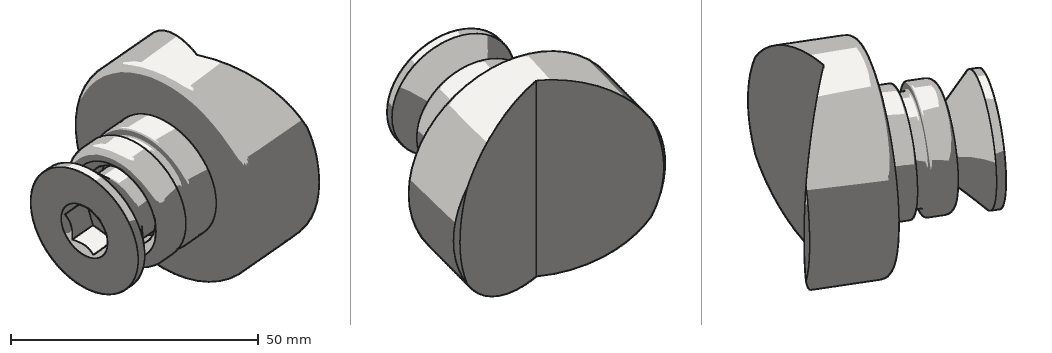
import cadquery as cq
import math


PAD_RADIUS = 25.0
PAD_CHAMFER = 2.0
PAD_CHAMFER_START = 19.0
PAD_FILLET = 2.0
VEE_BOTTOM = 10.0
VEE_ANGLE = 22.5

NECK_RADIUS = 14.0
NECK_LENGTH = 15.0
NECK_FILLET = 2.0
GROOVE_RADIUS = 12.0
GROOVE_START = 6.2
GROOVE_END = 8.95
GROOVE_FILLET = 0.5

SHANK_RADIUS = 8.0
HEAD_RADIUS = 14.5
HEAD_FACE = 24.4
HEAD_RIM = 2.0
UNDERHEAD_FILLET = 0.8
HEX_ACROSS_FLATS = 10.0
HEX_TURN = 10.0
HEX_DEPTH = 6.85
HEX_MOUTH_RADIUS = 6.25
MOUTH_SLOPE = 45.0

CLEARANCE_RADIUS = 9.0
CLEARANCE_DEPTH = 6.0
COUNTERSINK_RADIUS = 11.0
SHANK_END = 0.0


def revolve_about_y(profile):
    return profile.close().revolve(360, (0, 0, 0), (0, 1, 0))


def cylinder_along_y(radius, start, end):
    return cq.Workplane("XZ", origin=(0, start, 0)).circle(radius).extrude(start - end)


def make_pad_blank():
    pad_top = PAD_CHAMFER_START + PAD_CHAMFER
    disc = cylinder_along_y(PAD_RADIUS, 0, pad_top)
    disc = disc.faces(">Y").chamfer(PAD_CHAMFER).faces("<Y").edges().fillet(PAD_FILLET)
    flank_rise = PAD_RADIUS * math.tan(math.radians(VEE_ANGLE))
    vee = (
        cq.Workplane("XY")
        .moveTo(0, VEE_BOTTOM)
        .lineTo(PAD_RADIUS, VEE_BOTTOM + flank_rise)
        .lineTo(PAD_RADIUS, pad_top)
        .lineTo(-PAD_RADIUS, pad_top)
        .lineTo(-PAD_RADIUS, VEE_BOTTOM + flank_rise)
        .close()
        .extrude(PAD_RADIUS, both=True)
    )
    return disc.cut(vee)


def make_neck():
    neck = cylinder_along_y(NECK_RADIUS, 0, -NECK_LENGTH)
    neck = neck.faces("<Y").edges().fillet(NECK_FILLET)
    groove = cylinder_along_y(NECK_RADIUS, -GROOVE_END, -GROOVE_START).cut(
        cylinder_along_y(GROOVE_RADIUS, -GROOVE_END, -GROOVE_START)
    )
    near_groove = cq.selectors.BoxSelector(
        (-NECK_RADIUS, -GROOVE_END - GROOVE_FILLET, -NECK_RADIUS),
        (NECK_RADIUS, -GROOVE_START + GROOVE_FILLET, NECK_RADIUS),
    )
    return neck.cut(groove).edges("%CIRCLE").edges(near_groove).fillet(GROOVE_FILLET)


def make_pad():
    countersink_depth = COUNTERSINK_RADIUS - CLEARANCE_RADIUS
    hole = revolve_about_y(
        cq.Workplane("XY")
        .moveTo(0, -NECK_LENGTH)
        .lineTo(COUNTERSINK_RADIUS, -NECK_LENGTH)
        .lineTo(CLEARANCE_RADIUS, -NECK_LENGTH + countersink_depth)
        .lineTo(CLEARANCE_RADIUS, -NECK_LENGTH + CLEARANCE_DEPTH)
        .lineTo(SHANK_RADIUS, -NECK_LENGTH + CLEARANCE_DEPTH)
        .lineTo(SHANK_RADIUS, SHANK_END)
        .lineTo(0, SHANK_END)
    )
    return make_pad_blank().union(make_neck()).cut(hole)


def make_hex_socket():
    corner_diameter = 2 * HEX_ACROSS_FLATS / math.sqrt(3)
    hexagon = (
        cq.Workplane("XZ", origin=(0, -HEAD_FACE, 0))
        .polygon(6, corner_diameter)
        .extrude(-HEX_DEPTH)
        .rotate((0, 0, 0), (0, 1, 0), HEX_TURN)
    )
    mouth_depth = HEX_MOUTH_RADIUS * math.tan(math.radians(MOUTH_SLOPE))
    mouth = revolve_about_y(
        cq.Workplane("XY")
        .moveTo(0, -HEAD_FACE)
        .lineTo(HEX_MOUTH_RADIUS, -HEAD_FACE)
        .lineTo(0, -HEAD_FACE + mouth_depth)
    )
    return hexagon.union(mouth)


def make_screw():
    cone_end = HEAD_FACE - HEAD_RIM - (HEAD_RADIUS - SHANK_RADIUS)
    body = revolve_about_y(
        cq.Workplane("XY")
        .moveTo(0, -HEAD_FACE)
        .lineTo(HEAD_RADIUS, -HEAD_FACE)
        .lineTo(HEAD_RADIUS, -HEAD_FACE + HEAD_RIM)
        .lineTo(SHANK_RADIUS, -cone_end)
        .lineTo(SHANK_RADIUS, SHANK_END)
        .lineTo(0, SHANK_END)
    )
    shank_to_cone = cq.selectors.BoxSelector(
        (-HEAD_RADIUS, -cone_end - UNDERHEAD_FILLET, -HEAD_RADIUS),
        (HEAD_RADIUS, -cone_end + UNDERHEAD_FILLET, HEAD_RADIUS),
    )
    body = body.edges("%CIRCLE").edges(shank_to_cone).fillet(UNDERHEAD_FILLET)
    return body.cut(make_hex_socket())


pad = make_pad()
screw = make_screw()
result = cq.Compound.makeCompound([pad.val(), screw.val()])